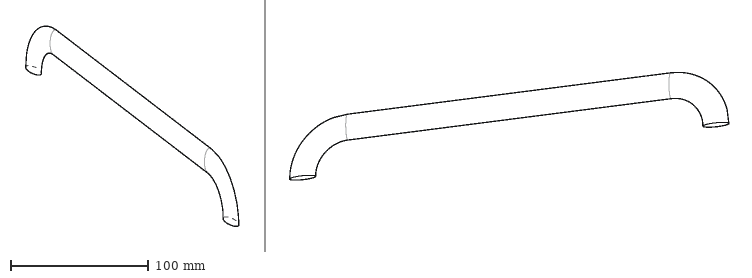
import cadquery as cq

overall_length = 340.0
overall_height = 45.0
bar_depth = 20.0
bar_thickness = 8.0

bend_radius = overall_height - bar_depth / 2
foot_x = (overall_length - bar_depth) / 2
bend_x = foot_x - bend_radius
bend_middle = bend_radius * 0.5**0.5

path = (
    cq.Workplane("XZ")
    .moveTo(-foot_x, 0)
    .threePointArc((-bend_x - bend_middle, bend_middle), (-bend_x, bend_radius))
    .lineTo(bend_x, bend_radius)
    .threePointArc((bend_x + bend_middle, bend_middle), (foot_x, 0))
)

result = (
    cq.Workplane("XY", origin=(-foot_x, 0, 0))
    .ellipse(bar_depth / 2, bar_thickness / 2)
    .sweep(path)
)